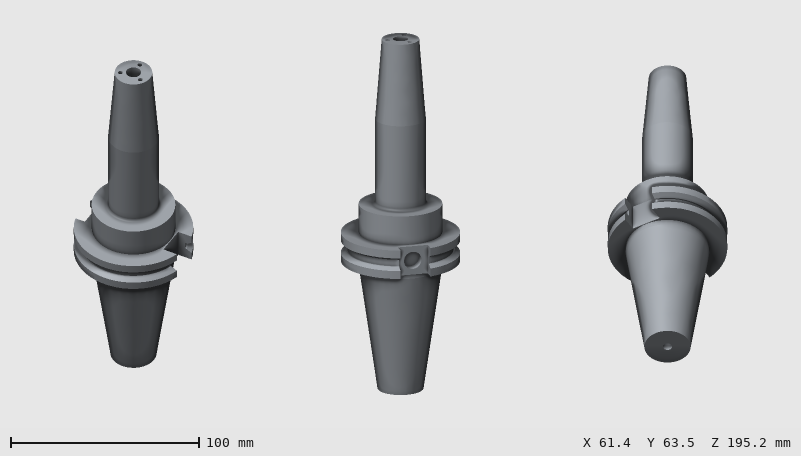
import cadquery as cq
import math

gauge_diameter = 44.45
taper_length = 68.25
taper_ratio = 7 / 24
shank_end_diameter = gauge_diameter - taper_ratio * taper_length

flange_diameter = 63.5
flange_bottom = 3.175
flange_top = 19.05
flange_middle = (flange_bottom + flange_top) / 2

groove_floor_diameter = 56.25
groove_floor_width = 3.8
flank_foot_diameter = 57.8
groove_flank_angle = 30

slot_width = 16.38
slot_floor_left = 25.0
slot_floor_right = 22.6
slot_hole_diameter = 9.6
slot_hole_depth = 5.0

collar_top = 35.0
nose_top = 127.0
neck_diameter = 27.0
neck_fillet = 1.5
nose_tip_diameter = 20.0
nose_cone_angle = 4.5
nose_cone_length = (neck_diameter - nose_tip_diameter) / 2 / math.tan(math.radians(nose_cone_angle))

bore_diameter = 8.0
bore_depth = 36.0
passage_diameter = 5.0
jet_count = 3
jet_diameter = 2.5
jet_depth = 10.0
jet_circle_radius = 7.0
first_jet_angle = 90


def make_body():
    """Revolve the half profile of shank, flange, collar and nose about Z."""
    gauge_radius = gauge_diameter / 2
    flange_radius = flange_diameter / 2
    neck_radius = neck_diameter / 2
    profile = (
        cq.Workplane("XZ")
        .moveTo(0, -taper_length)
        .lineTo(shank_end_diameter / 2, -taper_length)
        .lineTo(gauge_radius, 0)
        .lineTo(gauge_radius, flange_bottom)
        .lineTo(flange_radius, flange_bottom)
        .lineTo(flange_radius, flange_top)
        .lineTo(gauge_radius, flange_top)
        .lineTo(gauge_radius, collar_top)
        .lineTo(neck_radius + neck_fillet, collar_top)
        .radiusArc((neck_radius, collar_top + neck_fillet), neck_fillet)
        .lineTo(neck_radius, nose_top - nose_cone_length)
        .lineTo(nose_tip_diameter / 2, nose_top)
        .lineTo(0, nose_top)
        .close()
    )
    return profile.revolve(360, (0, 0, 0), (0, 1, 0))


def make_groove():
    """Ring whose section is a narrow straight-walled bottom opening into a V."""
    floor_radius = groove_floor_diameter / 2
    foot_radius = flank_foot_diameter / 2
    mouth_radius = flange_diameter / 2
    flank_rise = (mouth_radius - foot_radius) * math.tan(math.radians(groove_flank_angle))
    half_floor = groove_floor_width / 2
    half_mouth = half_floor + flank_rise
    section = (
        cq.Workplane("XZ")
        .moveTo(floor_radius, flange_middle - half_floor)
        .lineTo(foot_radius, flange_middle - half_floor)
        .lineTo(mouth_radius, flange_middle - half_mouth)
        .lineTo(mouth_radius, flange_middle + half_mouth)
        .lineTo(foot_radius, flange_middle + half_floor)
        .lineTo(floor_radius, flange_middle + half_floor)
        .close()
    )
    return section.revolve(360, (0, 0, 0), (0, 1, 0))


def make_slot(side, floor_distance):
    """Drive slot on the +X (side = 1) or -X (side = -1) edge of the flange."""
    length = flange_diameter / 2
    height = flange_top - flange_bottom
    center_x = side * (floor_distance + length / 2)
    return cq.Workplane("XY").box(length, slot_width, height).translate((center_x, 0, flange_middle))


def make_slot_hole():
    """Blind round hole in the floor of the -X slot, running towards the axis."""
    return (
        cq.Workplane("YZ", origin=(-slot_floor_left, 0, flange_middle))
        .circle(slot_hole_diameter / 2)
        .extrude(slot_hole_depth)
    )


def make_hole_from_tip(diameter, depth):
    """Axial hole going down from the nose tip."""
    return cq.Workplane("XY", origin=(0, 0, nose_top)).circle(diameter / 2).extrude(-depth)


def make_jets():
    """Small axial holes spread evenly around the tool bore."""
    return (
        cq.Workplane("XY", origin=(0, 0, nose_top))
        .polarArray(jet_circle_radius, first_jet_angle, 360, jet_count)
        .circle(jet_diameter / 2)
        .extrude(-jet_depth)
    )


result = (
    make_body()
    .cut(make_groove())
    .cut(make_slot(-1, slot_floor_left))
    .cut(make_slot(1, slot_floor_right))
    .cut(make_slot_hole())
    .cut(make_hole_from_tip(bore_diameter, bore_depth))
    .cut(make_hole_from_tip(passage_diameter, nose_top + taper_length))
    .cut(make_jets())
)